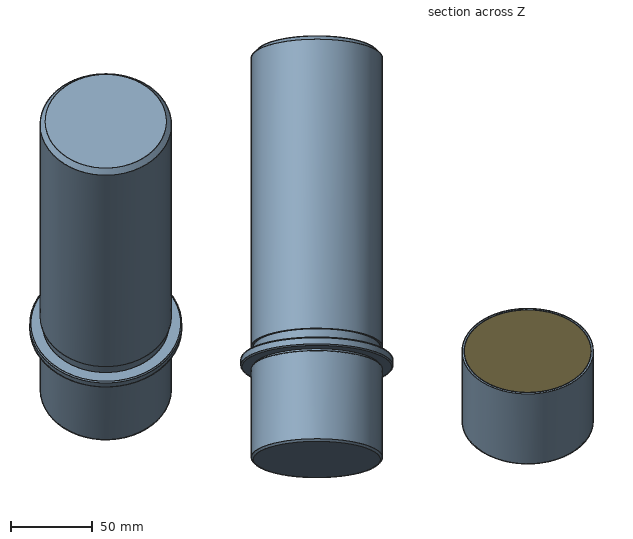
import cadquery as cq

total_height = 259.0
body_diameter = 80.3
neck_diameter = 77.7
flange_diameter = 93.0
base_height = 57.5
undercut_height = 1.5
flange_thickness = 5.5
neck_height = 7.3
top_chamfer = 3.0
base_chamfer = 1.3
flange_chamfer = 0.8


def cylinder(diameter, bottom, height):
    """Upright cylinder on the Z axis, starting at the given level."""
    return cq.Workplane("XY").workplane(offset=bottom).circle(diameter / 2).extrude(height)


flange_bottom = base_height + undercut_height
flange_top = flange_bottom + flange_thickness
body_bottom = flange_top + neck_height

base = cylinder(body_diameter, 0, base_height).faces("<Z").chamfer(base_chamfer)

neck = cylinder(neck_diameter, base_height, body_bottom - base_height)

flange = cylinder(flange_diameter, flange_bottom, flange_thickness).edges().chamfer(flange_chamfer)

body = cylinder(body_diameter, body_bottom, total_height - body_bottom)
body = body.faces(">Z").chamfer(top_chamfer)

result = base.union(neck).union(flange).union(body)